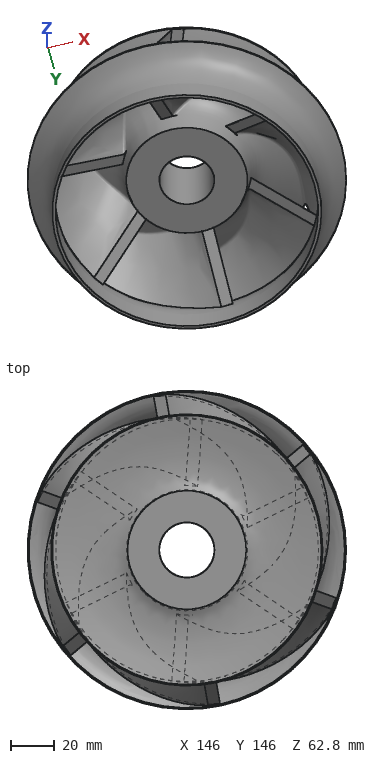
import cadquery as cq
import math

height = 62.8
rim_radius = 73.0
rim_height = 30.1
rim_edge = 0.7
throat_radius = 61.7
throat_height = 10.8
shroud_wall = 1.5
disc_radius = 62.3
disc_top_radius = 61.7
disc_edge = 2.0
disc_underside = height - disc_edge
hub_face_radius = 27.2
hub_bottom_radius = 27.8
hub_bottom = 29.2
bore_radius = 12.5

blade_count = 6
first_tip_angle = 40.0
tip_width = 5.5
root_fillet = 1.2
blade_stations = [
    (0, 61.8, 61.4, 72.0, 29.8),
    (18, 51.9, 56.4, 68.7, 27.6),
    (37, 43.1, 52.6, 65.0, 23.8),
    (57, 33.6, 47.3, 62.3, 19.0),
    (74, 28.5, 38.7, 61.0, 13.9),
]


def make_shroud():
    """Flared inlet ring: a straight throat opening into a thin rim."""
    flare_points = [(62.5, 17.0), (64.5, 21.9), (68.2, 26.3), (rim_radius, rim_height - rim_edge)]
    straight_up = (0, 1)
    flare_lip = (0.85, 0.5)
    inner_flare = [
        (64.3, 24.3),
        (61.4, 18.7),
        (throat_radius - shroud_wall, throat_height),
    ]
    profile = (
        cq.Workplane("XZ")
        .moveTo(throat_radius - shroud_wall, 0)
        .lineTo(throat_radius, 0)
        .lineTo(throat_radius, throat_height)
        .spline(flare_points, tangents=[straight_up, flare_lip], includeCurrent=True)
        .lineTo(rim_radius, rim_height)
        .lineTo(rim_radius - rim_edge, rim_height)
        .spline(inner_flare, includeCurrent=True)
        .close()
    )
    return profile.revolve(360, (0, 0, 0), (0, 1, 0))


def make_hub_disc():
    """Back disc with a shallow dish on top and a flared hub below."""
    dish = [(32.9, height - 2.5), (43.1, height - 2.8), (disc_top_radius, height)]
    dish_start = (0.8, -0.6)
    dish_end = (0.98, 0.2)
    flare = [(51.9, 55.5), (43.1, 51.1), (33.6, 45.3), (29.2, 36.5), (hub_bottom_radius, hub_bottom)]
    profile = (
        cq.Workplane("XZ")
        .moveTo(bore_radius, hub_bottom)
        .lineTo(bore_radius, height)
        .lineTo(hub_face_radius, height)
        .spline(dish, tangents=[dish_start, dish_end], includeCurrent=True)
        .lineTo(disc_radius, disc_underside)
        .spline(flare, includeCurrent=True)
        .close()
    )
    return profile.revolve(360, (0, 0, 0), (0, 1, 0))


def polar_point(radius, angle, z):
    return cq.Vector(radius * math.cos(angle), radius * math.sin(angle), z)


def blade_section(sweep, hub_radius, hub_z, shroud_radius, shroud_z):
    """Four-sided section from hub to shroud, measured around the axis for its width."""
    angle = math.radians(first_tip_angle - sweep)
    hub_half = tip_width / 2 / hub_radius
    shroud_half = tip_width / 2 / shroud_radius
    corners = [
        polar_point(hub_radius, angle - hub_half, hub_z),
        polar_point(hub_radius, angle + hub_half, hub_z),
        polar_point(shroud_radius, angle + shroud_half, shroud_z),
        polar_point(shroud_radius, angle - shroud_half, shroud_z),
    ]
    return cq.Wire.makePolygon(corners, close=True)


def make_blade():
    sections = [blade_section(*station) for station in blade_stations]
    return cq.Workplane(obj=cq.Solid.makeLoft(sections))


def is_inner_root(edge):
    """True for the hub root of a blade's inner, counterclockwise face, found by its end at the disc rim."""
    upper, lower = sorted((edge.startPoint(), edge.endPoint()), key=lambda point: -point.z)
    reaches_rim = disc_underside - root_fillet < upper.z < disc_underside
    follows_hub = lower.z > rim_height and edge.Length() > 2 * tip_width
    blade_pitch = 360 / blade_count
    rim_angle = math.degrees(math.atan2(upper.y, upper.x)) % blade_pitch
    return reaches_rim and follows_hub and rim_angle > first_tip_angle


rotor = make_hub_disc()
blade = make_blade()
for index in range(blade_count):
    rotor = rotor.union(blade.rotate((0, 0, 0), (0, 0, 1), index * 360 / blade_count))

inner_roots = [edge for edge in rotor.edges().vals() if is_inner_root(edge)]
rotor = rotor.newObject(inner_roots).fillet(root_fillet)

result = rotor.union(make_shroud())